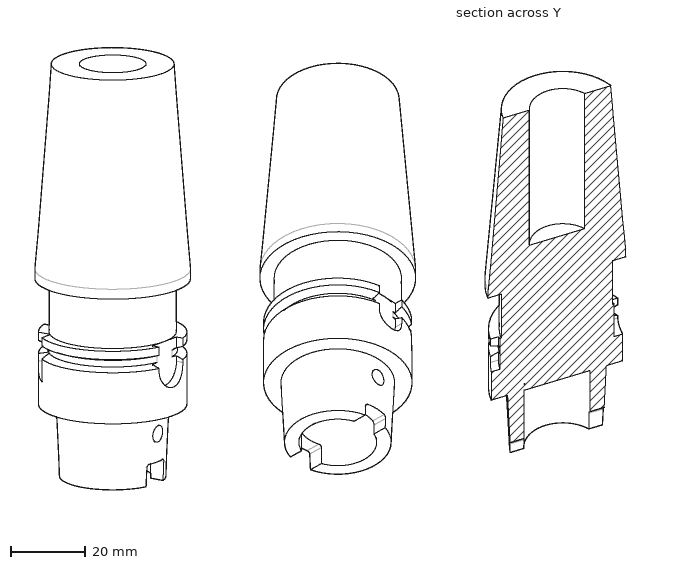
import cadquery as cq

total_height = 115.0
shank_length = 20.0
flange_top = 40.2
collar_bottom = 55.1
cone_bottom = 57.8

shank_end_radius = 14.4
shank_root_radius = 15.3
flange_radius = 20.0
neck_radius = 17.1
collar_radius = 42.0 / 2
nose_radius = 16.6

groove_radius = 17.5
groove_bottom = 34.3
groove_floor_bottom = 35.2
groove_floor_top = 37.0
groove_top = 38.0

bore_radius = 9.0
bore_depth = 46.0
hollow_radius = 10.5
hollow_depth = shank_length

key_half_width = 4.4
wide_key_half_width = 5.5
key_bottom = 28.0
key_floor_x = neck_radius
notch_wall = 12.0

drive_half_width = 3.9
drive_corner_radius = 0.8
shallow_drive_depth = 3.8
deep_drive_depth = 6.2
cross_hole_radius = 2.3
cross_hole_height = 14.1


def turned_body():
    """Shank, grooved flange, neck and tapered nose as one revolved profile."""
    profile = [
        (0, 0),
        (shank_end_radius, 0),
        (shank_root_radius, shank_length),
        (flange_radius, shank_length),
        (flange_radius, groove_bottom),
        (groove_radius, groove_floor_bottom),
        (groove_radius, groove_floor_top),
        (flange_radius, groove_top),
        (flange_radius, flange_top),
        (neck_radius, flange_top),
        (neck_radius, collar_bottom),
        (collar_radius, collar_bottom),
        (collar_radius, cone_bottom),
        (nose_radius, total_height),
        (0, total_height),
    ]
    return cq.Workplane("XZ").polyline(profile).close().revolve(360, (0, 0), (0, 1))


def cylinder(radius, bottom, height):
    return cq.Workplane("XY").workplane(offset=bottom).circle(radius).extrude(height)


def key_slot(half_width, center_y, start_x, end_x):
    """Slot along X, open at the flange top and rounded at its lower end."""
    arc_center = key_bottom + half_width
    return (
        cq.Workplane("YZ", origin=(start_x, center_y, 0))
        .moveTo(-half_width, flange_top)
        .lineTo(-half_width, arc_center)
        .threePointArc((0, key_bottom), (half_width, arc_center))
        .lineTo(half_width, flange_top)
        .close()
        .extrude(end_x - start_x)
    )


def drive_slot(depth, direction):
    """Slot in the shank end, from the axis out through one side."""
    return (
        cq.Workplane("XY")
        .box(shank_root_radius, 2 * drive_half_width, depth, centered=(False, True, False))
        .edges("|X and >Z")
        .fillet(drive_corner_radius)
        .rotate((0, 0, 0), (0, 0, 1), 0 if direction > 0 else 180)
    )


body = turned_body()

body = body.cut(cylinder(bore_radius, total_height - bore_depth, bore_depth))
body = body.cut(cylinder(hollow_radius, 0, hollow_depth))

flange_cuts = (
    key_slot(key_half_width, 0, -flange_radius, -key_floor_x)
    .union(key_slot(wide_key_half_width, 0, key_floor_x, flange_radius))
    .union(key_slot(key_half_width, -notch_wall - key_half_width, -flange_radius, -notch_wall))
)
flange_cuts = flange_cuts.cut(cylinder(neck_radius, 0, total_height))
body = body.cut(flange_cuts)

body = body.cut(drive_slot(shallow_drive_depth, -1))
body = body.cut(drive_slot(deep_drive_depth, 1))
cross_hole = (
    cq.Workplane("YZ")
    .center(0, cross_hole_height)
    .circle(cross_hole_radius)
    .extrude(shank_root_radius, both=True)
)
result = body.cut(cross_hole)